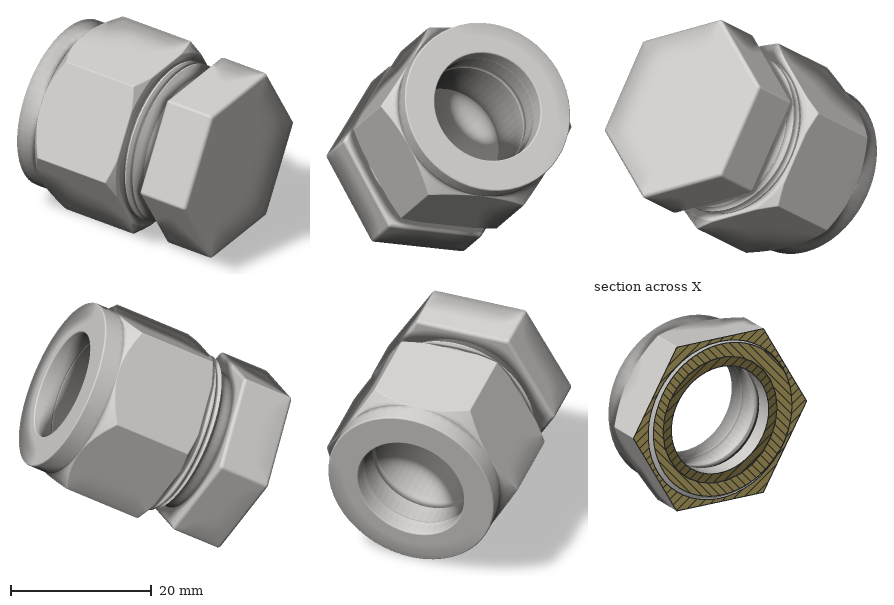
import cadquery as cq
import math


overall_length = 29.9
tube_bore_radius = 8.05
chamber_radius = 10.0
edge_radius = 0.2

nut_across_flats = 25.0
nut_length = 17.4
nut_collar_length = 3.0
nut_bore_radius = 8.0
nut_front_chamfer_angle = 45.0
nut_rear_chamfer_angle = 30.0
nut_rear_face_radius = 12.95

thread_radius = 25.4 * 15 / 16 / 2
thread_pitch = 25.4 / 20
thread_depth = 0.78
thread_root_flat = 0.16
thread_flank_angle = 30.0
thread_groove_start = 7.885
groove_overcut = 0.08
turns_per_stretch = 2
groove_stretches = 5

back_ferrule_face = nut_collar_length
back_ferrule_end = 6.4
back_ferrule_nose_radius = 8.6

front_ferrule_bore_start = 7.65
front_ferrule_nose = 11.4
ferrule_nose_angle = 20.0

plug_mouth = 8.8
plug_bore_end = 18.0
drill_point_angle = 120.0
thread_end = 19.37
neck_start = 20.35
neck_radius = 10.35
plug_hex_length = 7.9
plug_across_flats = 24.05
plug_edge_radius = 0.5

plug_hex_start = overall_length - plug_hex_length
groove_stretch_length = turns_per_stretch * thread_pitch
thread_root_radius = thread_radius - thread_depth
nose_length = front_ferrule_nose - plug_mouth
nose_tip_radius = chamber_radius - nose_length * math.tan(math.radians(ferrule_nose_angle))


def turned(points):
    """Solid of revolution about X from (x, radius) corners."""
    return cq.Workplane("XY").polyline(points).close().revolve(360, (0, 0, 0), (1, 0, 0))


def hex_bar(start, length, across_flats):
    """Hexagonal bar along X with flats facing up and down."""
    across_corners = across_flats / math.cos(math.radians(30))
    return cq.Workplane("YZ").workplane(offset=start).polygon(6, across_corners).extrude(length)


def chamfered_nut_hexagon():
    """Hexagon turned to a cone at both ends, with every edge lightly rounded."""
    collar_radius = nut_across_flats / 2
    clear_radius = nut_across_flats
    front_run = (clear_radius - collar_radius) / math.tan(math.radians(nut_front_chamfer_angle))
    rear_run = (clear_radius - nut_rear_face_radius) * math.tan(math.radians(nut_rear_chamfer_angle))
    front_cone = turned([
        (nut_collar_length, 0),
        (nut_collar_length, collar_radius),
        (nut_collar_length + front_run, clear_radius),
        (nut_length, clear_radius),
        (nut_length, 0),
    ])
    rear_cone = turned([
        (nut_collar_length, 0),
        (nut_collar_length, clear_radius),
        (nut_length - rear_run, clear_radius),
        (nut_length, nut_rear_face_radius),
        (nut_length, 0),
    ])
    bar = hex_bar(nut_collar_length, nut_length - nut_collar_length, nut_across_flats)
    return bar.intersect(front_cone).intersect(rear_cone).edges().fillet(edge_radius)


def make_nut():
    collar = cq.Workplane("YZ").circle(nut_across_flats / 2).extrude(nut_collar_length)
    body = chamfered_nut_hexagon().union(collar)
    chamber = turned([
        (nut_collar_length, 0),
        (nut_collar_length, chamber_radius),
        (plug_mouth, chamber_radius),
        (plug_mouth, thread_radius),
        (nut_length, thread_radius),
        (nut_length, 0),
    ])
    tube_hole = cq.Workplane("YZ").circle(nut_bore_radius).extrude(nut_collar_length)
    nut = body.cut(chamber).cut(tube_hole)
    nut = nut.faces("<X").edges().fillet(edge_radius)
    half_width = (nut_bore_radius + chamber_radius) / 2
    shoulder_bore_edge = cq.selectors.BoxSelector(
        (nut_collar_length - edge_radius / 2, -half_width, -half_width),
        (nut_collar_length + edge_radius / 2, half_width, half_width),
        boundingbox=True,
    )
    return nut.edges(shoulder_bore_edge).fillet(edge_radius)


def make_back_ferrule():
    """Ring with a 45 degree nose and a rounded bore edge at its rear face."""
    nose_run = chamber_radius - back_ferrule_nose_radius
    ring = turned([
        (back_ferrule_face, tube_bore_radius),
        (back_ferrule_face, chamber_radius),
        (back_ferrule_end - nose_run, chamber_radius),
        (back_ferrule_end, back_ferrule_nose_radius),
        (back_ferrule_end, tube_bore_radius),
    ])
    return ring.faces("<X").edges(cq.selectors.RadiusNthSelector(0)).fillet(edge_radius)


def make_front_ferrule():
    seat_depth = chamber_radius - tube_bore_radius
    return turned([
        (front_ferrule_bore_start, tube_bore_radius),
        (front_ferrule_bore_start - seat_depth, chamber_radius),
        (plug_mouth, chamber_radius),
        (front_ferrule_nose, nose_tip_radius),
        (front_ferrule_nose, tube_bore_radius),
    ])


def thread_groove(start):
    """Stretch of helical groove with sloping flanks, reaching a little past the thread crest."""
    cut_depth = thread_depth + groove_overcut
    half_root = thread_root_flat / 2
    half_top = half_root + cut_depth * math.tan(math.radians(thread_flank_angle))
    helix = cq.Wire.makeHelix(thread_pitch, groove_stretch_length, thread_root_radius)
    profile = cq.Workplane("XZ").polyline([
        (thread_root_radius, -half_root),
        (thread_root_radius + cut_depth, -half_top),
        (thread_root_radius + cut_depth, half_top),
        (thread_root_radius, half_root),
    ]).close()
    groove = profile.sweep(cq.Workplane(helix), isFrenet=True)
    return groove.rotate((0, 0, 0), (0, 1, 0), 90).translate((start, 0, 0))


def threaded_shank():
    """Threaded cylinder from the mouth to the hexagon, turned down to a plain neck."""
    shank_length = plug_hex_start - plug_mouth
    shank = cq.Workplane("YZ").workplane(offset=plug_mouth).circle(thread_radius).extrude(shank_length)
    for stretch in range(groove_stretches):
        shank = shank.cut(thread_groove(thread_groove_start + stretch * groove_stretch_length))
    clear_radius = 2 * thread_radius
    neck_relief = turned([
        (thread_end, thread_radius),
        (neck_start, neck_radius),
        (plug_hex_start, neck_radius),
        (plug_hex_start, clear_radius),
        (thread_end, clear_radius),
    ])
    return shank.cut(neck_relief)


def make_plug():
    head = hex_bar(plug_hex_start, plug_hex_length, plug_across_flats).edges().fillet(plug_edge_radius)
    drill_point_length = tube_bore_radius / math.tan(math.radians(drill_point_angle / 2))
    blind_bore = turned([
        (plug_mouth, 0),
        (plug_mouth, chamber_radius),
        (front_ferrule_nose, nose_tip_radius),
        (front_ferrule_nose, tube_bore_radius),
        (plug_bore_end, tube_bore_radius),
        (plug_bore_end + drill_point_length, 0),
    ])
    return head.union(threaded_shank()).cut(blind_bore)


nut = make_nut()
back_ferrule = make_back_ferrule()
front_ferrule = make_front_ferrule()
plug = make_plug()

result = cq.Compound.makeCompound([nut.val(), back_ferrule.val(), front_ferrule.val(), plug.val()])